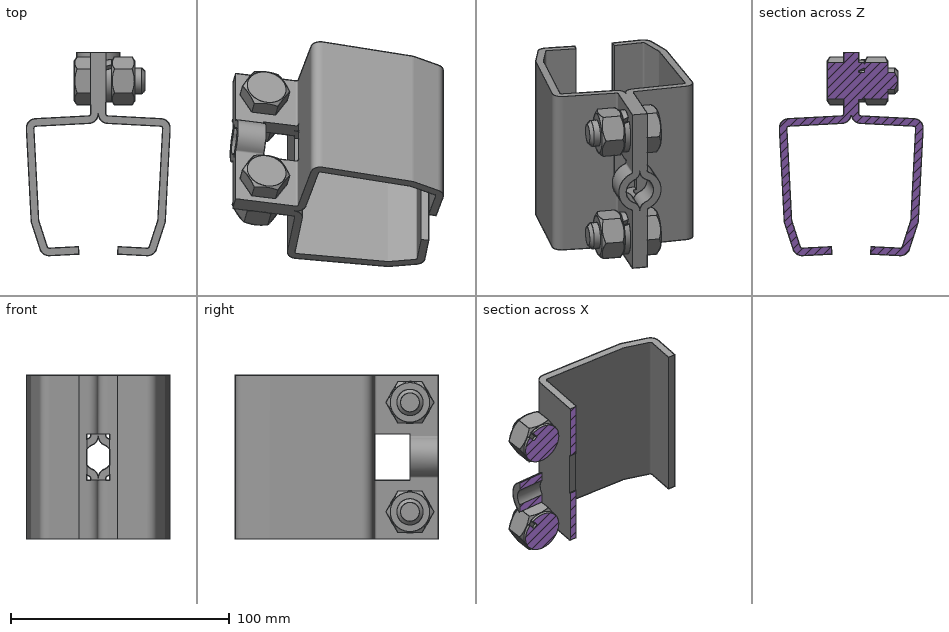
import cadquery as cq
import math

HALF_WIDTH = 32.9
DEPTH = 92.9
HEIGHT = 75.0

SHEET = 3.5
BEND_INSIDE = 0.9
BEND_OUTSIDE = BEND_INSIDE + SHEET
WALL_TILT = 3.0
FOOT_TILT = 18.0
WALL_LENGTH = 42.0
FOOT_LENGTH = 12.45
LIP_LENGTH = 13.4

WINDOW_WIDTH = 10.4
WINDOW_HEIGHT = 21.0

BARREL_BORE = 12.0
BARREL_INSIDE = BARREL_BORE / 2
BARREL_OUTSIDE = BARREL_INSIDE + SHEET
BARREL_SHIFT = 0.4

BARREL_BEND_X = BEND_OUTSIDE
BARREL_BEND_Z = math.sqrt((BARREL_OUTSIDE + BEND_INSIDE) ** 2 - (BARREL_BEND_X - BARREL_SHIFT) ** 2)

BOLT_Y = 79.9
BOLT_Z = 25.0
BOLT_DIAMETER = 12.0
BOLT_END_X = 21.5
BOLT_CHAMFER = 1.7
HEX_FLATS = 19.0
HEX_FACE_DIAMETER = 18.0
HEX_CHAMFER_ANGLE = 35.0
HEAD_HEIGHT = 7.5
NUT_HEIGHT = 10.8
WASHER_DIAMETER = 19.3
WASHER_THICKNESS = 2.5
WASHER_GAP = 2.0
WASHER_GAP_POSITION = 40.0
WASHER_GAP_SLANT = 20.0


def polar(centre, radius, angle):
    """Point at a radius and an angle in degrees from a centre."""
    turn = math.radians(angle)
    return (centre[0] + radius * math.cos(turn), centre[1] + radius * math.sin(turn))


def mirrored_pair(half):
    """Half together with its mirror image in the middle plane."""
    return half.union(half.mirror("YZ"))


def folded_sheet():
    """Both halves of the clamp, each one constant-thickness folded strip."""
    radius_sum = BEND_INSIDE + BEND_OUTSIDE
    arm_normal = 90 - WALL_TILT
    tilt = math.radians(WALL_TILT)

    corner_x = HALF_WIDTH - BEND_OUTSIDE
    corner_y = (BEND_OUTSIDE + FOOT_LENGTH * math.cos(math.radians(FOOT_TILT))
                + WALL_LENGTH * math.cos(tilt))
    corner = (corner_x, corner_y)
    knee = polar(corner, WALL_LENGTH, -90 - WALL_TILT)
    foot = polar(knee, FOOT_LENGTH, -90 - FOOT_TILT)
    arm_length = (corner_x - BEND_OUTSIDE + radius_sum * math.sin(tilt)) / math.cos(tilt)
    root = polar(polar(corner, radius_sum, arm_normal), arm_length, 180 - WALL_TILT)

    bends = [
        (root, BEND_INSIDE, 180, 270 - WALL_TILT),
        (corner, BEND_OUTSIDE, arm_normal, -WALL_TILT),
        (knee, BEND_OUTSIDE, -WALL_TILT, -FOOT_TILT),
        (foot, BEND_OUTSIDE, -FOOT_TILT, -90 - WALL_TILT),
    ]

    outline = cq.Workplane("XY").moveTo(0, DEPTH).lineTo(SHEET, DEPTH)
    for centre, radius, start, end in bends:
        outline = outline.lineTo(*polar(centre, radius, start)).threePointArc(
            polar(centre, radius, (start + end) / 2), polar(centre, radius, end))
    for face_radius in (BEND_OUTSIDE, BEND_INSIDE):
        lip_start = polar(foot, face_radius, -90 - WALL_TILT)
        outline = outline.lineTo(*polar(lip_start, LIP_LENGTH, 180 - WALL_TILT))
    for centre, outer_radius, start, end in reversed(bends):
        radius = radius_sum - outer_radius
        outline = outline.lineTo(*polar(centre, radius, end)).threePointArc(
            polar(centre, radius, (start + end) / 2), polar(centre, radius, start))
    half = outline.close().extrude(HEIGHT / 2, both=True)
    return mirrored_pair(half)


def barrel_side(lug_face, bend_radius, barrel_radius):
    """Solid between the middle plane and one face of the half barrel."""
    centre = (BARREL_SHIFT, 0)
    bend_angle = math.degrees(math.atan2(BARREL_BEND_Z, BARREL_BEND_X - BARREL_SHIFT))
    middle_angle = (180 + 180 + bend_angle) / 2
    top_bend = (BARREL_BEND_X, BARREL_BEND_Z)
    bottom_bend = (BARREL_BEND_X, -BARREL_BEND_Z)
    outline = (
        cq.Workplane("XZ", origin=(0, DEPTH, 0))
        .moveTo(lug_face, BARREL_BEND_Z)
        .threePointArc(polar(top_bend, bend_radius, middle_angle),
                       polar(centre, barrel_radius, bend_angle))
        .threePointArc(polar(centre, barrel_radius, 0), polar(centre, barrel_radius, -bend_angle))
        .threePointArc(polar(bottom_bend, bend_radius, -middle_angle), (lug_face, -BARREL_BEND_Z))
    )
    if lug_face > 0:
        outline = outline.lineTo(0, -BARREL_BEND_Z).lineTo(0, BARREL_BEND_Z)
    return outline.close().extrude(DEPTH - BOLT_Y)


def barrel():
    """Tube behind the window, pinched towards the middle plane where it meets the lug."""
    outside = barrel_side(SHEET, BEND_INSIDE, BARREL_OUTSIDE)
    inside = barrel_side(0, BEND_OUTSIDE, BARREL_INSIDE)
    return mirrored_pair(outside.cut(inside))


def window():
    """Opening through the arms and lug up to the barrel, plus the gap left by its formed strip."""
    opening = cq.Workplane("XY").box(WINDOW_WIDTH, BOLT_Y, WINDOW_HEIGHT, centered=(True, False, True))
    strip = (
        cq.Workplane("XY")
        .box(2 * SHEET, DEPTH - BOLT_Y, 2 * BARREL_BEND_Z, centered=(True, False, True))
        .translate((0, BOLT_Y, 0))
    )
    return opening.union(strip)


def rod(start_x, length, diameter):
    """Cylinder along X on the origin axis."""
    return cq.Workplane("YZ", origin=(start_x, 0, 0)).circle(diameter / 2).extrude(length)


def hexagon(start_x, length, chamfered_ends):
    """Hexagonal prism along X with corners towards Y and cone-chamfered ends."""
    across_corners = HEX_FLATS / math.cos(math.radians(30))
    radial = (across_corners - HEX_FACE_DIAMETER) / 2
    axial = radial * math.tan(math.radians(HEX_CHAMFER_ANGLE))
    prism = cq.Workplane("YZ", origin=(start_x, 0, 0)).polygon(6, across_corners).extrude(length)
    envelope = rod(start_x, length, across_corners)
    for face in chamfered_ends:
        envelope = envelope.faces(face).chamfer(axial, radial)
    return prism.intersect(envelope)


def spring_washer():
    """Flat ring filled by the shank, split by one slanted gap."""
    gap = (
        cq.Workplane("XY")
        .box(2 * WASHER_THICKNESS, WASHER_GAP, WASHER_DIAMETER, centered=(True, True, False))
        .rotate((0, 0, 0), (0, 0, 1), WASHER_GAP_SLANT)
        .rotate((0, 0, 0), (1, 0, 0), -WASHER_GAP_POSITION)
        .translate((SHEET + WASHER_THICKNESS / 2, 0, 0))
    )
    return rod(SHEET, WASHER_THICKNESS, WASHER_DIAMETER).cut(gap)


def fastener():
    """Bolt, spring washer and nut with the bolt axis along X."""
    shank = rod(-SHEET, BOLT_END_X + SHEET, BOLT_DIAMETER).faces(">X").chamfer(BOLT_CHAMFER)
    head = hexagon(-SHEET - HEAD_HEIGHT, HEAD_HEIGHT, ["<X"])
    nut = hexagon(SHEET + WASHER_THICKNESS, NUT_HEIGHT, ["<X", ">X"])
    return shank.union(head).union(spring_washer()).union(nut)


result = folded_sheet().cut(window()).union(barrel())
for bolt_z in (BOLT_Z, -BOLT_Z):
    result = result.union(fastener().translate((0, BOLT_Y, bolt_z)))